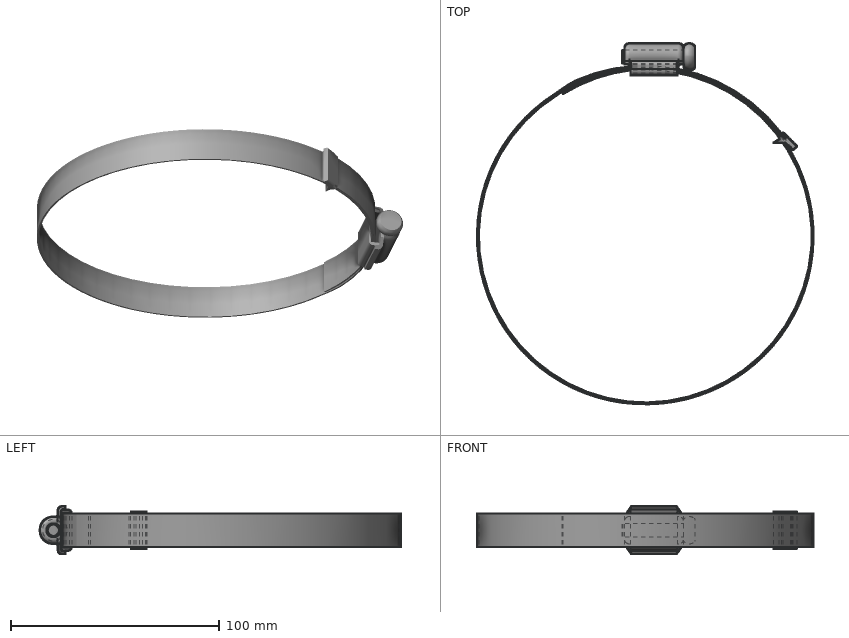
import cadquery as cq
import math


strap_outer_radius = 80.8
strap_thickness = 0.9
strap_width = 16.1
layer_gap = 0.07
strap_inner_radius = strap_outer_radius - strap_thickness
layer_pitch = strap_thickness + layer_gap
inner_tail_drop = 1.0
inner_tail_tip_angle = 120
inner_tail_root_angle = 95
step_start_angle = 122
step_end_angle = 114
outer_tail_tip_angle = 30.5

overall_length = 173.3
housing_top_y = overall_length - strap_outer_radius

barrel_radius = 6.5
barrel_end_fillet = 2.5
housing_left_x = -10.0
housing_right_x = 18.4
housing_length = housing_right_x - housing_left_x
sheet_thickness = 1.5
axis_y = housing_top_y - barrel_radius
flange_drop = 2.0
flange_width = 23.0
flange_half_width = flange_width / 2
flange_bend_radius = 2.0
flange_inner_bend_radius = 1.0
flange_lip_depth = 3.6
flange_corner_length = 3.5
barrel_root_fillet = 0.9
flange_outer_y = axis_y - flange_drop
flange_inner_y = flange_outer_y - sheet_thickness

saddle_left_x = -7.1
saddle_right_x = 15.5
saddle_half_width = 9.9
saddle_floor_y = 77.1
saddle_floor_thickness = 1.0
saddle_corner_radius = 2.0
saddle_side_clearance = 0.2

shank_radius = 3.3
tip_x = -11.3
tip_chamfer = 0.5
head_radius = 6.5
head_end_radius = 5.2
head_end_x = 24.0

clip_half_width = 9.0
clip_angle = -45
clip_corner_x = 66.2
clip_corner_y = 49.7
clip_length = 9.4
clip_depth = 2.6
clip_edge_fillet = 0.9
clip_clearance = 0.07
prong_tip = (0.2, -7.0)
prong_front_root = (0.9, -3.8)
prong_back_root = (4.0, -3.1)
relief_length = 2.6
relief_depth = 1.4


def polar(radius, angle):
    return (radius * math.cos(math.radians(angle)), radius * math.sin(math.radians(angle)))


def x_block(left_x, right_x, low_y, high_y, half_width):
    """Rectangular block centred on Z = 0."""
    return (
        cq.Workplane("XY")
        .box(right_x - left_x, high_y - low_y, 2 * half_width, centered=(False, False, True))
        .translate((left_x, low_y, 0))
    )


def strap_piece(start_angle, end_angle, start_offset, end_offset):
    """Curved strip between two angles; its inner face moves radially by the given offsets."""
    middle_angle = (start_angle + end_angle) / 2
    start = strap_inner_radius + start_offset
    end = strap_inner_radius + end_offset
    middle = (start + end) / 2
    return (
        cq.Workplane("XY")
        .workplane(offset=-strap_width / 2)
        .moveTo(*polar(start, start_angle))
        .threePointArc(polar(middle, middle_angle), polar(end, end_angle))
        .lineTo(*polar(end + strap_thickness, end_angle))
        .threePointArc(
            polar(middle + strap_thickness, middle_angle),
            polar(start + strap_thickness, start_angle),
        )
        .close()
        .extrude(strap_width)
    )


def make_strap():
    inner_tail = strap_piece(inner_tail_tip_angle, inner_tail_root_angle, -inner_tail_drop, 0)
    ring = strap_piece(inner_tail_root_angle, step_start_angle - 360, 0, 0)
    step = strap_piece(step_start_angle, step_end_angle, 0, layer_pitch)
    outer_tail = strap_piece(step_end_angle, outer_tail_tip_angle, layer_pitch, layer_pitch)
    return ring.union(inner_tail).union(step).union(outer_tail)


def make_barrel():
    """Half-round tunnel over the screw with rounded ends."""
    return (
        cq.Workplane("YZ")
        .workplane(offset=housing_left_x)
        .moveTo(flange_inner_y, -barrel_radius)
        .lineTo(axis_y, -barrel_radius)
        .threePointArc((housing_top_y, 0), (axis_y, barrel_radius))
        .lineTo(flange_inner_y, barrel_radius)
        .close()
        .extrude(housing_length)
        .faces("<X or >X")
        .edges("not <Y")
        .fillet(barrel_end_fillet)
    )


def make_root_fillets():
    """Concave fillets where the straight barrel sides meet the flange."""
    fillet_top_y = flange_outer_y + barrel_root_fillet
    fillet_end_z = barrel_radius + barrel_root_fillet
    arc_inset = barrel_root_fillet * (1 - math.sqrt(0.5))
    fillet = (
        cq.Workplane("YZ", origin=(housing_left_x + barrel_end_fillet, 0, 0))
        .moveTo(flange_outer_y, barrel_radius)
        .lineTo(fillet_top_y, barrel_radius)
        .threePointArc(
            (flange_outer_y + arc_inset, barrel_radius + arc_inset),
            (flange_outer_y, fillet_end_z),
        )
        .close()
        .extrude(housing_length - 2 * barrel_end_fillet)
    )
    return fillet.union(fillet.mirror("XY"))


def make_flange():
    """Flat sheet with both long edges bent down as lips and its corners cut off."""
    lip_end_y = flange_outer_y - flange_lip_depth
    hollow_half_width = flange_half_width - sheet_thickness
    hollow = (
        x_block(housing_left_x, housing_right_x, lip_end_y, flange_inner_y, hollow_half_width)
        .edges("|X and >Y")
        .fillet(flange_inner_bend_radius)
    )
    corner = [
        (housing_left_x, barrel_radius),
        (housing_left_x, flange_half_width),
        (housing_left_x + flange_corner_length, flange_half_width),
    ]
    corner_cut = (
        cq.Workplane("XZ", origin=(0, flange_outer_y, 0))
        .polyline(corner)
        .close()
        .extrude(flange_lip_depth)
    )
    housing_middle = ((housing_left_x + housing_right_x) / 2, 0, 0)
    left_cuts = corner_cut.union(corner_cut.mirror("XY"))
    right_cuts = left_cuts.mirror("YZ", housing_middle)
    return (
        x_block(housing_left_x, housing_right_x, lip_end_y, flange_outer_y, flange_half_width)
        .edges("|X and >Y")
        .fillet(flange_bend_radius)
        .cut(hollow)
        .cut(left_cuts)
        .cut(right_cuts)
    )


def make_housing():
    bore = (
        cq.Workplane("YZ", origin=(housing_left_x, axis_y, 0))
        .circle(shank_radius)
        .extrude(housing_length)
    )
    return make_barrel().union(make_flange()).union(make_root_fillets()).cut(bore)


def make_saddle():
    """Channel that carries the strap layers under the housing."""
    channel_floor_y = saddle_floor_y + saddle_floor_thickness
    channel_half_width = strap_width / 2 + saddle_side_clearance
    channel = x_block(saddle_left_x, saddle_right_x, channel_floor_y, flange_inner_y, channel_half_width)
    return (
        x_block(saddle_left_x, saddle_right_x, saddle_floor_y, flange_inner_y, saddle_half_width)
        .edges("|X and <Y")
        .fillet(saddle_corner_radius)
        .edges("|X and >Y")
        .fillet(flange_inner_bend_radius)
        .cut(channel)
    )


def make_screw():
    shank = (
        cq.Workplane("YZ", origin=(tip_x, axis_y, 0))
        .circle(shank_radius)
        .extrude(housing_right_x - tip_x)
        .faces("<X")
        .chamfer(tip_chamfer)
    )
    head_middle_x = (housing_right_x + head_end_x) / 2
    head = (
        cq.Workplane("XZ", origin=(0, axis_y, 0))
        .moveTo(housing_right_x, 0)
        .lineTo(housing_right_x, head_end_radius)
        .threePointArc((head_middle_x, head_radius), (head_end_x, head_end_radius))
        .lineTo(head_end_x, 0)
        .close()
        .revolve(360, (0, 0, 0), (1, 0, 0))
    )
    return shank.union(head)


def make_clip():
    """Bent sheet over the outer tail, with a full-width prong pointing into the ring."""
    body = (
        cq.Workplane("XY")
        .workplane(offset=-clip_half_width)
        .polyline([
            (0, 0),
            (clip_length, 0),
            (clip_length, -clip_depth),
            prong_back_root,
            prong_tip,
            prong_front_root,
            (0, -clip_depth),
        ])
        .close()
        .extrude(2 * clip_half_width)
        .edges("|X and >Y")
        .fillet(clip_edge_fillet)
    )
    relief = (
        x_block(0, relief_length, -relief_depth, 0, clip_half_width)
        .cut(x_block(0, relief_length, -relief_depth, 0, strap_width / 2))
    )
    passage = (
        cq.Workplane("XY")
        .workplane(offset=-strap_width / 2)
        .circle(strap_inner_radius + layer_pitch + strap_thickness + clip_clearance)
        .circle(strap_inner_radius - clip_clearance)
        .extrude(strap_width)
    )
    return (
        body
        .cut(relief)
        .rotate((0, 0, 0), (0, 0, 1), clip_angle)
        .translate((clip_corner_x, clip_corner_y, 0))
        .cut(passage)
    )


strap = make_strap()
housing = make_housing()
saddle = make_saddle()
screw = make_screw()
clip = make_clip()

result = cq.Compound.makeCompound([
    strap.solids().val(),
    housing.solids().val(),
    saddle.solids().val(),
    screw.solids().val(),
    clip.solids().val(),
])